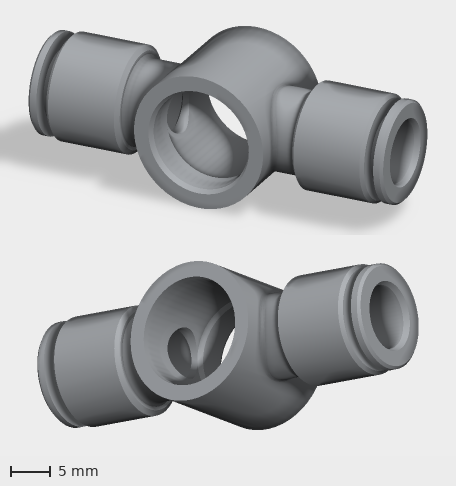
import cadquery as cq
import math

length = 49.4
half_length = length / 2

ring_diameter = 18.0
ring_width = 17.0
bore_diameter = 14.0
lip_diameter = 13.2
lip_edge_offset = 4.0
bevel_angle = math.radians(30)

stem_radius = 10.95 / 2
body_radius = 14.1 / 2
body_inner_end_radius = 12.8 / 2
body_outer_end_radius = 13.2 / 2
neck_radius = 9.4 / 2
collar_radius = 13.5 / 2
collar_chamfer = 0.35
stem_root_fillet = 0.5
stem_body_fillet = 0.75
shoulder_cone_width = 0.25

body_inner_end = 12.0
body_length = 10.15
body_inner_chamfer = 0.5
body_outer_chamfer = 0.45
collar_width = 1.25

passage_radius = 6.5 / 2
tube_radius = 8.15 / 2
tube_mouth_radius = 8.9 / 2
tube_mouth_depth = 0.75
passage_end = 7.85
socket_step_angle = math.radians(60)


def revolve_about_x(profile):
    """Revolve a closed XY profile a full turn about the X axis."""
    return profile.close().revolve(360, (0, 0, 0), (1, 0, 0))


def cylinder_along_y(diameter, width):
    return cq.Workplane("XZ").circle(diameter / 2).extrude(width / 2, both=True)


def stem():
    return cq.Workplane("YZ").circle(stem_radius).extrude(body_inner_end + body_inner_chamfer)


def arm_head():
    """Socket body, neck and release collar, with the fillet onto the stem."""
    fillet_end = body_inner_end - shoulder_cone_width
    turn = math.radians(45)
    fillet_start = fillet_end - stem_body_fillet * math.sin(turn)
    fillet_rise = stem_body_fillet * (1 - math.cos(turn))
    cone_base_radius = stem_radius + fillet_rise
    body_outer_end = body_inner_end + body_length
    collar_inner_end = half_length - collar_width
    profile = (
        cq.Workplane("XY")
        .moveTo(fillet_start, 0)
        .lineTo(fillet_start, stem_radius)
        .radiusArc((fillet_end, cone_base_radius), -stem_body_fillet)
        .lineTo(body_inner_end, cone_base_radius + shoulder_cone_width)
        .lineTo(body_inner_end, body_inner_end_radius)
        .lineTo(body_inner_end + body_inner_chamfer, body_radius)
        .lineTo(body_outer_end - body_outer_chamfer, body_radius)
        .lineTo(body_outer_end, body_outer_end_radius)
        .lineTo(body_outer_end, neck_radius)
        .lineTo(collar_inner_end, neck_radius)
        .lineTo(collar_inner_end, collar_radius)
        .lineTo(half_length - collar_chamfer, collar_radius)
        .lineTo(half_length, collar_radius - collar_chamfer)
        .lineTo(half_length, 0)
    )
    return revolve_about_x(profile)


def tube_passage():
    """Inner hole, conical step up to the tube socket, and flared mouth of one arm."""
    socket_start = passage_end + (tube_radius - passage_radius) / math.tan(socket_step_angle)
    profile = (
        cq.Workplane("XY")
        .lineTo(0, passage_radius)
        .lineTo(passage_end, passage_radius)
        .lineTo(socket_start, tube_radius)
        .lineTo(half_length - tube_mouth_depth, tube_radius)
        .lineTo(half_length, tube_mouth_radius)
        .lineTo(half_length, 0)
    )
    return revolve_about_x(profile)


def ring_bore():
    """Through bore, narrowed near its -Y mouth by a lip bevelled on both sides."""
    bore_radius = bore_diameter / 2
    lip_radius = lip_diameter / 2
    half_width = ring_width / 2
    bevel_length = (bore_radius - lip_radius) / math.tan(bevel_angle)
    profile = (
        cq.Workplane("XY")
        .moveTo(0, -half_width)
        .lineTo(bore_radius, -half_width)
        .lineTo(lip_radius, bevel_length - half_width)
        .lineTo(lip_radius, -lip_edge_offset)
        .lineTo(bore_radius, bevel_length - lip_edge_offset)
        .lineTo(bore_radius, half_width)
        .lineTo(0, half_width)
        .close()
    )
    return profile.revolve(360, (0, 0, 0), (0, 1, 0))


def both_arms(shape):
    return shape.union(shape.mirror("YZ"))


ring = cylinder_along_y(ring_diameter, ring_width)
body = ring.union(both_arms(stem()))
margin = 0.05
root_x = ring_diameter / 2 + margin
root_yz = stem_radius + margin
root_edges = cq.selectors.BoxSelector(
    (-root_x, -root_yz, -root_yz), (root_x, root_yz, root_yz), boundingbox=True
)
body = body.edges(root_edges).fillet(stem_root_fillet)

head = arm_head()
passage = tube_passage()
result = (
    body.union(head)
    .union(head.mirror("YZ"))
    .cut(ring_bore())
    .cut(passage)
    .cut(passage.mirror("YZ"))
)